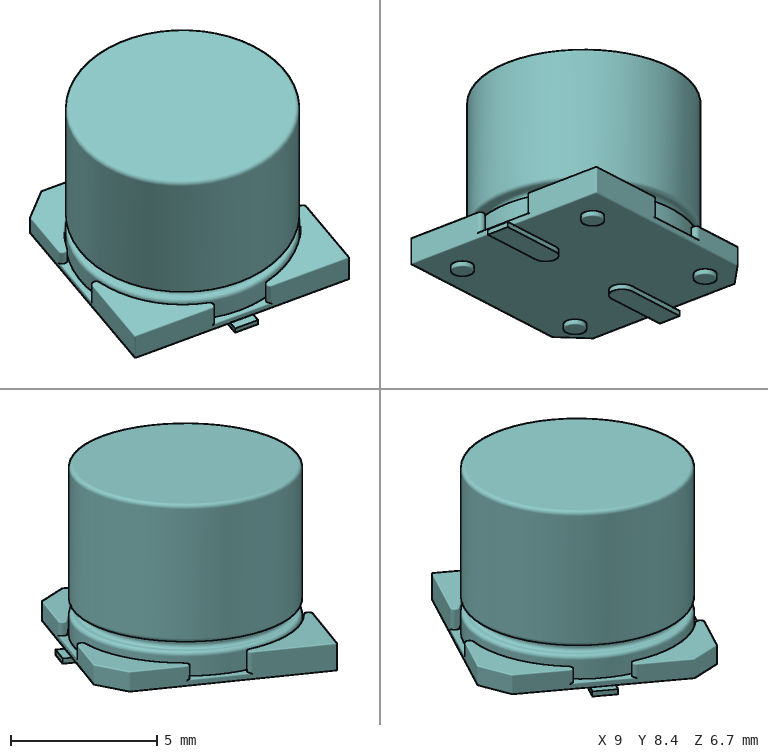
import cadquery as cq

total_length = 9.0
total_height = 6.7

base_width = 8.4
base_bottom = 0.2
ledge_top = 0.44
low_post_top = 0.945
high_post_top = 1.215
corner_chamfer = 1.0
notch_width = 2.05
notch_round = 0.15
edge_round = 0.045
can_clearance = 0.045

can_diameter = 8.0
neck_diameter = 7.2
groove_center = 1.48
groove_width = 0.34
can_round = 0.15

foot_diameter = 0.8
foot_offset = 2.94
foot_round = 0.04
terminal_width = 0.9
terminal_inner_end = 1.55

half_base = base_width / 2
half_notch = notch_width / 2
can_radius = can_diameter / 2
slab_middle = (base_bottom + ledge_top) / 2


def base_block(bottom, top):
    """Square block with its two -X corners cut off and its upright edges rounded."""
    block = cq.Workplane("XY").box(base_width, base_width, top - bottom, centered=(True, True, False))
    block = block.translate((0, 0, bottom))
    block = block.edges("|Z and <X").chamfer(corner_chamfer)
    return block.edges("|Z").fillet(edge_round)


def make_slab():
    """Thin floor of the base, with rounded upper and lower rims."""
    return base_block(base_bottom, ledge_top).faces("<Z or >Z").edges().fillet(edge_round)


def make_post(x_side, y_side, top):
    """Corner post standing just clear of the can, with rounded ends at the notches."""
    height = top - slab_middle
    quadrant_side = half_base - half_notch
    center = half_notch + quadrant_side / 2
    quadrant = (
        cq.Workplane("XY", origin=(x_side * center, y_side * center, slab_middle))
        .box(quadrant_side, quadrant_side, height, centered=(True, True, False))
    )
    pocket = cq.Workplane("XY", origin=(0, 0, slab_middle)).circle(can_radius + can_clearance).extrude(height)
    post = base_block(slab_middle, top).intersect(quadrant).cut(pocket)

    reach = base_width
    tolerance = 0.001
    x_wall = cq.selectors.BoxSelector(
        (x_side * (half_notch - tolerance), 0, 0),
        (x_side * (half_notch + tolerance), y_side * reach, total_height),
    )
    y_wall = cq.selectors.BoxSelector(
        (0, y_side * (half_notch - tolerance), 0),
        (x_side * reach, y_side * (half_notch + tolerance), total_height),
    )
    post = post.edges("|Z").edges(x_wall + y_wall).fillet(notch_round)
    return post.faces(">Z").edges().fillet(edge_round)


def make_can():
    """Revolved can with a rounded top and a rounded groove above the base."""
    neck_radius = neck_diameter / 2
    lower_wall = groove_center - groove_width / 2
    upper_wall = groove_center + groove_width / 2
    diagonal = can_round * 0.5 ** 0.5
    lip_center_radius = can_radius - can_round
    throat_center_radius = neck_radius + can_round

    profile = (
        cq.Workplane("XZ")
        .moveTo(0, slab_middle)
        .lineTo(can_radius, slab_middle)
        .lineTo(can_radius, lower_wall - can_round)
        .threePointArc(
            (lip_center_radius + diagonal, lower_wall - can_round + diagonal),
            (lip_center_radius, lower_wall),
        )
        .lineTo(throat_center_radius, lower_wall)
        .threePointArc(
            (throat_center_radius - diagonal, lower_wall + can_round - diagonal),
            (neck_radius, lower_wall + can_round),
        )
        .lineTo(neck_radius, upper_wall - can_round)
        .threePointArc(
            (throat_center_radius - diagonal, upper_wall - can_round + diagonal),
            (throat_center_radius, upper_wall),
        )
        .lineTo(lip_center_radius, upper_wall)
        .threePointArc(
            (lip_center_radius + diagonal, upper_wall + can_round - diagonal),
            (can_radius, upper_wall + can_round),
        )
        .lineTo(can_radius, total_height - can_round)
        .threePointArc(
            (lip_center_radius + diagonal, total_height - can_round + diagonal),
            (lip_center_radius, total_height),
        )
        .lineTo(0, total_height)
        .close()
    )
    return profile.revolve(360, (0, 0, 0), (0, 1, 0))


def make_foot(x, y):
    """Round standoff with a rounded lower rim, sunk into the slab."""
    foot = cq.Workplane("XY").center(x, y).circle(foot_diameter / 2).extrude(slab_middle)
    return foot.faces("<Z").edges().fillet(foot_round)


def make_terminal(x_side):
    """Flat lead with a square outer end and a half-round inner end."""
    outer_end = total_length / 2
    round_start = terminal_inner_end + terminal_width / 2
    side = terminal_width / 2
    return (
        cq.Workplane("XY")
        .moveTo(x_side * outer_end, -side)
        .lineTo(x_side * round_start, -side)
        .threePointArc((x_side * terminal_inner_end, 0), (x_side * round_start, side))
        .lineTo(x_side * outer_end, side)
        .close()
        .extrude(base_bottom)
    )


result = make_slab().union(make_can())
for x_side, post_top in ((-1, low_post_top), (1, high_post_top)):
    for y_side in (-1, 1):
        result = result.union(make_post(x_side, y_side, post_top))
        result = result.union(make_foot(x_side * foot_offset, y_side * foot_offset))
    result = result.union(make_terminal(x_side))